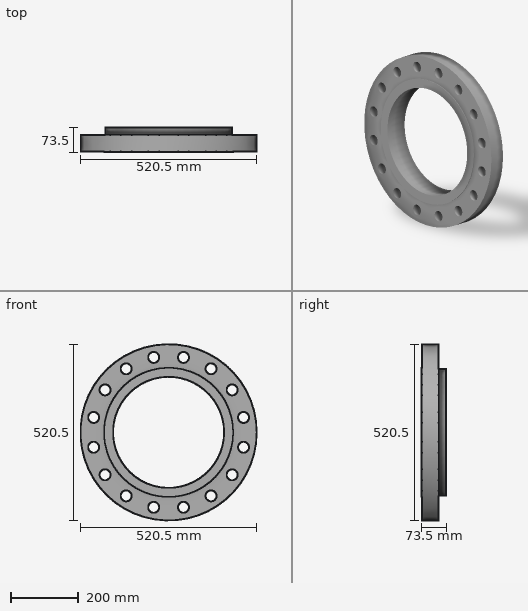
import cadquery as cq

flange_diameter = 520.5
total_depth = 73.5
bore_diameter = 327.0

face_diameter = 381.0
face_height = 2.0

hub_diameter = 375.0
hub_height = 22.0

bolt_hole_diameter = 32.0
bolt_circle_diameter = 451.0
bolt_count = 16
first_bolt_angle = 360 / bolt_count / 2

flange_thickness = total_depth - face_height - hub_height


def disc(diameter, start_y, thickness):
    """Solid disc about the Y axis, running from start_y toward +Y."""
    plane = cq.Workplane("XZ", origin=(0, start_y, 0))
    return plane.circle(diameter / 2).extrude(-thickness)


def bolt_holes():
    """Ring of cylinders that cut the bolt holes through the flange."""
    return (
        cq.Workplane("XZ")
        .polarArray(bolt_circle_diameter / 2, first_bolt_angle, 360, bolt_count)
        .circle(bolt_hole_diameter / 2)
        .extrude(-total_depth)
    )


raised_face = disc(face_diameter, 0, face_height)
flange = disc(flange_diameter, face_height, flange_thickness)
hub = disc(hub_diameter, face_height + flange_thickness, hub_height)
bore = disc(bore_diameter, 0, total_depth)

result = raised_face.union(flange).union(hub).cut(bore).cut(bolt_holes())